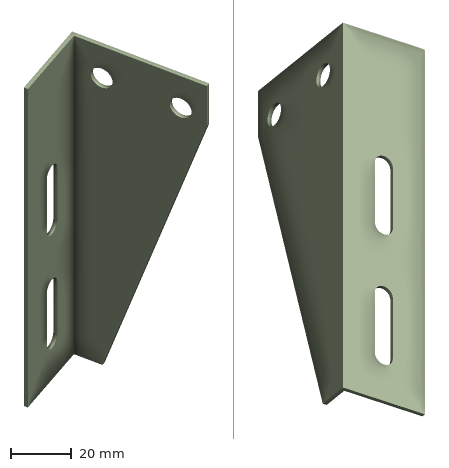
import cadquery as cq

width = 52.0
depth = 32.0
height = 140.0
thickness = 1.5

bottom_width = 12.3
straight_edge_height = 17.6
hole_diameter = 8.3
hole_drop = 14.0
hole_positions_x = (12.0, 42.0)

slot_width = 7.0
slot_length = 30.0
slot_spacing = 50.0
lowest_slot_end = 14.0
lower_slot_z = lowest_slot_end + slot_length / 2


def tapered_plate():
    """Plate at the back, narrowing from below its top corner to the bottom."""
    return (
        cq.Workplane("XZ")
        .polyline([
            (0, 0),
            (bottom_width, 0),
            (width, height - straight_edge_height),
            (width, height),
            (0, height),
        ])
        .close()
        .extrude(thickness)
    )


def slotted_flange():
    """Rectangular flange folded forward from the straight edge of the plate."""
    return cq.Workplane("XY").box(thickness, depth, height, centered=False).translate((0, -depth, 0))


def round_holes():
    """Cutters for the two holes near the top of the plate."""
    centers = [(x, height - hole_drop) for x in hole_positions_x]
    return cq.Workplane("XZ").pushPoints(centers).circle(hole_diameter / 2).extrude(thickness)


def vertical_slots():
    """Cutters for the two slots along the middle of the flange."""
    centers = [(-depth / 2, lower_slot_z + i * slot_spacing) for i in range(2)]
    return cq.Workplane("YZ").pushPoints(centers).slot2D(slot_length, slot_width, 90).extrude(thickness)


bracket = tapered_plate().union(slotted_flange())
result = bracket.cut(round_holes()).cut(vertical_slots())